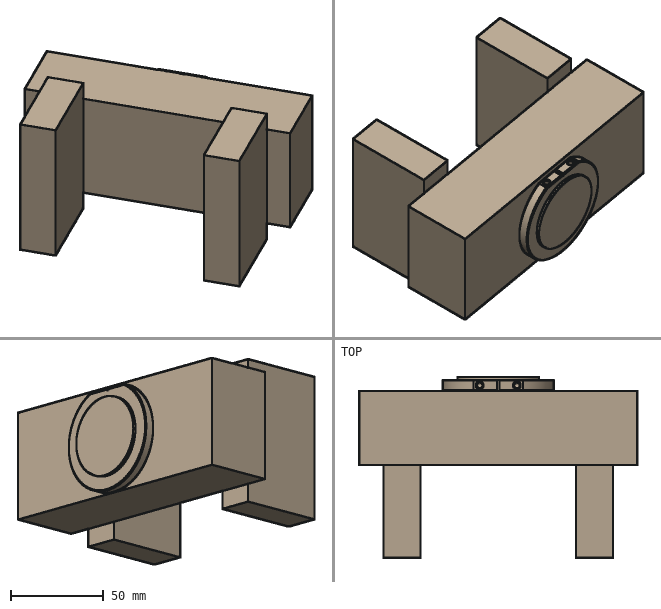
import cadquery as cq
import math

BODY_LENGTH = 150.0
BODY_DEPTH = BODY_LENGTH * 4 / 15
BODY_HEIGHT = BODY_LENGTH * 2 / 5
BODY_BACK = BODY_DEPTH / 2

JAW_WIDTH = BODY_LENGTH * 2 / 15
JAW_REACH = BODY_LENGTH / 3
JAW_HEIGHT = BODY_HEIGHT * 4 / 3
JAW_OFFSET = 51.9

COLLAR_RADIUS = BODY_HEIGHT / 2
COLLAR_THICKNESS = 6.0
COLLAR_CHAMFER = 0.5
COLLAR_FLAT_HEIGHT = 26.8
GROOVE_WIDTH = 1.5

HUB_RADIUS = 22.0
HUB_PROUD = 1.6
HUB_LENGTH = COLLAR_THICKNESS + HUB_PROUD

SCREW_RIM_DIAMETER = 4.0
SCREW_BORE_DIAMETER = 3.2
SCREW_BORE_DEPTH = 4.5
SCREW_HOLE_OFFSET = 10.0
DRILL_POINT_ANGLE = 118.0


def back_cylinder(radius, length):
    """Cylinder standing on the back face of the body, pointing along +Y."""
    axis = cq.Vector(0, 1, 0)
    return cq.Workplane(cq.Solid.makeCylinder(radius, length, cq.Vector(0, BODY_BACK, 0), axis))


def make_jaw(x):
    jaw_y = -BODY_DEPTH / 2 - JAW_REACH / 2
    return cq.Workplane("XY").box(JAW_WIDTH, JAW_REACH, JAW_HEIGHT).translate((x, jaw_y, 0))


def make_groove():
    """Half-round groove crossing the flat along Y."""
    axis_start = cq.Vector(0, BODY_BACK, COLLAR_FLAT_HEIGHT)
    groove = cq.Solid.makeCylinder(GROOVE_WIDTH / 2, COLLAR_THICKNESS, axis_start, cq.Vector(0, 1, 0))
    return cq.Workplane(groove)


def make_screw_hole(x):
    """Screw hole with a bevelled rim and a conical drill point, running down from the flat."""
    rim_radius = SCREW_RIM_DIAMETER / 2
    bore_radius = SCREW_BORE_DIAMETER / 2
    bevel = rim_radius - bore_radius
    point_depth = bore_radius / math.tan(math.radians(DRILL_POINT_ANGLE / 2))
    half_section = [
        (0, 0),
        (rim_radius, 0),
        (bore_radius, -bevel),
        (bore_radius, -SCREW_BORE_DEPTH),
        (0, -SCREW_BORE_DEPTH - point_depth),
    ]
    hole = cq.Workplane("XZ").polyline(half_section).close().revolve(360, (0, 0, 0), (0, 1, 0))
    return hole.translate((x, BODY_BACK + COLLAR_THICKNESS / 2, COLLAR_FLAT_HEIGHT))


def make_collar():
    flat_half_width = math.sqrt(COLLAR_RADIUS**2 - COLLAR_FLAT_HEIGHT**2)
    collar = (
        cq.Workplane("XZ", origin=(0, BODY_BACK, 0))
        .moveTo(-flat_half_width, COLLAR_FLAT_HEIGHT)
        .threePointArc((0, -COLLAR_RADIUS), (flat_half_width, COLLAR_FLAT_HEIGHT))
        .close()
        .extrude(-COLLAR_THICKNESS)
        .faces("<Y or >Y")
        .chamfer(COLLAR_CHAMFER)
    )
    collar = collar.cut(make_groove())
    for side in (-1, 1):
        collar = collar.cut(make_screw_hole(side * SCREW_HOLE_OFFSET))
    return collar


result = cq.Workplane("XY").box(BODY_LENGTH, BODY_DEPTH, BODY_HEIGHT)
for side in (-1, 1):
    result = result.union(make_jaw(side * JAW_OFFSET))
result = result.union(make_collar())
result = result.union(back_cylinder(HUB_RADIUS, HUB_LENGTH))